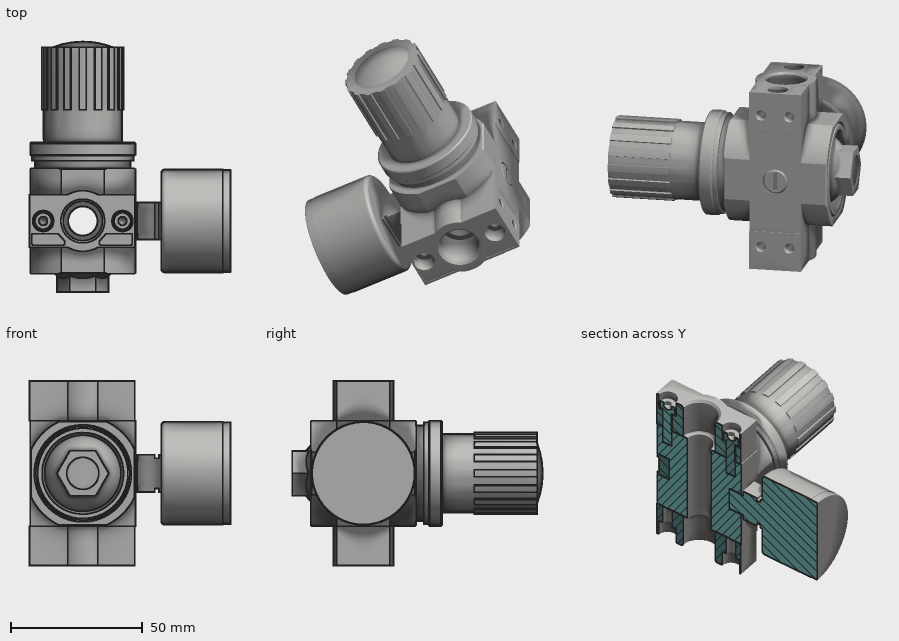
import cadquery as cq
import math


HOUSING_WIDTH = 40.0
HALF_WIDTH = HOUSING_WIDTH / 2
HOUSING_CORNER_RADIUS = 21.6
FLAT_END_CHAMFER = 0.5
BAND_HEIGHT = 20.0
PORT_DIAMETER = 11.0

PLATE_THICKNESS = 15.0
PLATE_OFFSET_X = -0.3
PLATE_BOSS_RADIUS = 11.5
PLATE_OUTER_Z = HALF_WIDTH + PLATE_THICKNESS
PLATE_BORE_DIAMETER = 14.9
PLATE_BORE_CHAMFER = 0.9
SIDE_HOLE_DIAMETER = 3.2
SIDE_HOLE_MOUTH_DIAMETER = 4.0
SIDE_HOLE_DEPTH = 4.75
SIDE_HOLE_SPACING = 11.0
SIDE_HOLE_Z = 26.0

LABEL_OUTER_X = 19.1
LABEL_INNER_X = 6.6
LABEL_TOP_Y = -4.75
LABEL_BOTTOM_Y = -9.1
LABEL_SLANT_WIDTH = 2.6
LABEL_SLANT_HEIGHT = 2.85
LABEL_CORNER_RADIUS = 0.7
LABEL_DEPTH = 0.3

SCREW_X = 15.0
SCREW_SHANK_DIAMETER = 4.0
SCREW_CLEARANCE_DIAMETER = 4.3
SCREW_HEAD_DIAMETER = 7.0
SCREW_HEAD_HEIGHT = 4.0
SCREW_HEAD_CHAMFER = 0.4
SCREW_HEAD_DEPTH = 2.8
SCREW_SOCKET_DIAMETER = 3.2
SCREW_SOCKET_DEPTH = 1.9
SCREW_ENGAGEMENT = 7.6
COUNTERBORE_DIAMETER = 8.0
COUNTERBORE_DEPTH = SCREW_HEAD_DEPTH + SCREW_HEAD_HEIGHT
DRILL_POINT_ANGLE = 118

SIDE_PORT_DIAMETER = 9.7
SIDE_PORT_DEPTH = 5.7
PLUG_CHAMFER = 0.7
PLUG_SLOT_WIDTH = 1.4
PLUG_SLOT_LENGTH = 7.0
PLUG_SLOT_DEPTH = 0.95

CAP_RADIUS = 17.8
CAP_BEVEL = 0.7
CAP_DEPTH = 7.6
CAP_RIM_INNER_RADIUS = 15.5
CAP_GROOVE_DEPTH = 4.3
CAP_DOME_RADIUS = 14.4
CAP_DOME_RISE = 6.65
CAP_DOME_TOP_RADIUS = 7.6
CAP_DOME_BULGE = 0.3
CAP_HEX_ACROSS_FLATS = 17.0
CAP_HEX_END_Y = -27.0
CAP_RECESS_DIAMETER = 12.2
CAP_RECESS_DEPTH = 0.6

NECK_RADIUS = 18.1
NECK_TOP_Y = 22.9
STEP_RADIUS = 19.4
STEP_TOP_Y = 24.7
COLLAR_RADIUS = HALF_WIDTH
COLLAR_TOP_Y = 29.8
COLLAR_CHAMFER = 0.5

KNOB_RADIUS = 14.9
RIB_RADIUS = 15.6
RIB_WIDTH = 2.8
RIB_COUNT = 16
RIB_START_Y = 42.1
KNOB_SHOULDER_Y = 65.8
KNOB_DOME_RADIUS = 11.4
KNOB_TOP_Y = 68.0

GAUGE_SQUARE = 14.2
GAUGE_SQUARE_START_X = 20.7
GAUGE_SLOT_START_X = 27.3
GAUGE_SLOT_WIDTH = 1.5
GAUGE_SLOT_DEPTH = 1.3
GAUGE_CASE_START_X = 29.6
GAUGE_CASE_RADIUS = 19.6
GAUGE_CASE_FILLET = 1.6
GAUGE_BEZEL_START_X = 53.0
GAUGE_BEZEL_RADIUS = 19.4
GAUGE_END_X = 56.05
GAUGE_BEZEL_FILLET = 0.3


def cylinder_x(radius, start, end):
    """Cylinder on the X axis."""
    return cq.Workplane("YZ").workplane(offset=start).circle(radius).extrude(end - start)


def cylinder_y(radius, start, end):
    """Cylinder on the Y axis."""
    return cq.Workplane("XZ").workplane(offset=-start).circle(radius).extrude(start - end)


def cone(start_radius, end_radius, height, position, direction):
    """Truncated cone growing from a position along a direction."""
    return cq.Workplane(obj=cq.Solid.makeCone(
        start_radius, end_radius, height, cq.Vector(position), cq.Vector(direction)
    ))


def drilled_hole(diameter, depth, position, direction):
    """Blind hole with a conical drill point, as a cutting tool."""
    radius = diameter / 2
    start = cq.Vector(position)
    axis = cq.Vector(direction)
    bore = cq.Workplane(obj=cq.Solid.makeCylinder(radius, depth, start, axis))
    tip_height = radius / math.tan(math.radians(DRILL_POINT_ANGLE / 2))
    return bore.union(cone(radius, 0, tip_height, start + axis * depth, axis))


def make_housing():
    barrel = cylinder_y(HOUSING_CORNER_RADIUS, -HALF_WIDTH, HALF_WIDTH)
    flats = cq.Workplane().box(HOUSING_WIDTH, HOUSING_WIDTH, HOUSING_WIDTH)
    flats = flats.faces("<Y or >Y").edges().chamfer(FLAT_END_CHAMFER)
    housing = barrel.intersect(flats).union(cq.Workplane().box(HOUSING_WIDTH, BAND_HEIGHT, HOUSING_WIDTH))

    housing = housing.cut(cq.Workplane().circle(PORT_DIAMETER / 2).extrude(HALF_WIDTH, both=True))

    for side in (-1, 1):
        housing = housing.cut(
            cylinder_x(SIDE_PORT_DIAMETER / 2, side * (HALF_WIDTH - SIDE_PORT_DEPTH), side * HALF_WIDTH)
        )

    bore_floor = CAP_DEPTH - HALF_WIDTH
    bore = [
        (0, bore_floor),
        (CAP_RADIUS, bore_floor),
        (CAP_RADIUS, CAP_BEVEL - HALF_WIDTH),
        (CAP_RADIUS + CAP_BEVEL, -HALF_WIDTH),
        (0, -HALF_WIDTH),
    ]
    housing = housing.cut(cq.Workplane("XY").polyline(bore).close().revolve(360, (0, 0), (0, 1)))

    screw_holes = (
        cq.Workplane("XY").workplane(offset=HALF_WIDTH - SCREW_ENGAGEMENT)
        .pushPoints([(-SCREW_X, 0), (SCREW_X, 0)])
        .circle(SCREW_SHANK_DIAMETER / 2)
        .extrude(SCREW_ENGAGEMENT)
    )
    return housing.cut(screw_holes)


def label_pocket():
    """Cutter for the label pocket on the +X half of a plate centred on X = 0."""
    outline = [
        (LABEL_OUTER_X, LABEL_BOTTOM_Y),
        (LABEL_OUTER_X, LABEL_TOP_Y),
        (LABEL_INNER_X + LABEL_SLANT_WIDTH, LABEL_TOP_Y),
        (LABEL_INNER_X, LABEL_TOP_Y - LABEL_SLANT_HEIGHT),
        (LABEL_INNER_X, LABEL_BOTTOM_Y),
    ]
    pocket = cq.Workplane("XY").workplane(offset=PLATE_OUTER_Z - LABEL_DEPTH)
    pocket = pocket.polyline(outline).close().extrude(LABEL_DEPTH)
    return pocket.edges("|Z").fillet(LABEL_CORNER_RADIUS)


def make_upper_plate():
    base = cq.Workplane("XY").workplane(offset=HALF_WIDTH)
    plate = base.center(PLATE_OFFSET_X, 0).rect(HOUSING_WIDTH, BAND_HEIGHT).extrude(PLATE_THICKNESS)
    plate = plate.union(base.circle(PLATE_BOSS_RADIUS).extrude(PLATE_THICKNESS))

    bore_radius = PLATE_BORE_DIAMETER / 2
    plate = plate.cut(base.circle(bore_radius).extrude(PLATE_THICKNESS))
    mouth_radius = bore_radius + PLATE_BORE_CHAMFER
    plate = plate.cut(cone(mouth_radius, bore_radius, PLATE_BORE_CHAMFER, (0, 0, PLATE_OUTER_Z), (0, 0, -1)))

    plate = (
        plate.faces(">Z").workplane(origin=(0, 0, PLATE_OUTER_Z))
        .pushPoints([(-SCREW_X, 0), (SCREW_X, 0)])
        .cboreHole(SCREW_CLEARANCE_DIAMETER, COUNTERBORE_DIAMETER, COUNTERBORE_DEPTH)
    )

    pocket = label_pocket()
    for label in (pocket, pocket.mirror("YZ")):
        plate = plate.cut(label.translate((PLATE_OFFSET_X, 0, 0)))

    side_hole_radius = SIDE_HOLE_DIAMETER / 2
    side_mouth_radius = SIDE_HOLE_MOUTH_DIAMETER / 2
    side_x = PLATE_OFFSET_X - HALF_WIDTH
    for y in (-SIDE_HOLE_SPACING / 2, SIDE_HOLE_SPACING / 2):
        position = (side_x, y, SIDE_HOLE_Z)
        plate = plate.cut(drilled_hole(SIDE_HOLE_DIAMETER, SIDE_HOLE_DEPTH, position, (1, 0, 0)))
        countersink_depth = side_mouth_radius - side_hole_radius
        plate = plate.cut(cone(side_mouth_radius, side_hole_radius, countersink_depth, position, (1, 0, 0)))
    return plate


def make_screw(x):
    head_top = PLATE_OUTER_Z - SCREW_HEAD_DEPTH
    head_bottom = PLATE_OUTER_Z - COUNTERBORE_DEPTH
    shank_end = HALF_WIDTH - SCREW_ENGAGEMENT
    head = cq.Workplane("XY").workplane(offset=head_bottom).center(x, 0)
    head = head.circle(SCREW_HEAD_DIAMETER / 2).extrude(SCREW_HEAD_HEIGHT)
    head = head.faces(">Z").edges().chamfer(SCREW_HEAD_CHAMFER)
    shank = cq.Workplane("XY").workplane(offset=shank_end).center(x, 0)
    shank = shank.circle(SCREW_SHANK_DIAMETER / 2).extrude(head_bottom - shank_end)
    socket = drilled_hole(SCREW_SOCKET_DIAMETER, SCREW_SOCKET_DEPTH, (x, 0, head_top), (0, 0, -1))
    return head.union(shank).cut(socket)


def make_plug():
    plug = cylinder_x(SIDE_PORT_DIAMETER / 2, -HALF_WIDTH, SIDE_PORT_DEPTH - HALF_WIDTH)
    plug = plug.faces("<X").edges().chamfer(PLUG_CHAMFER)
    slot = cq.Workplane("YZ").workplane(offset=-HALF_WIDTH)
    return plug.cut(slot.rect(PLUG_SLOT_WIDTH, PLUG_SLOT_LENGTH).extrude(PLUG_SLOT_DEPTH))


def make_cap():
    floor_y = CAP_DEPTH - HALF_WIDTH
    groove_y = CAP_GROOVE_DEPTH - HALF_WIDTH
    groove_radius = CAP_RIM_INNER_RADIUS - CAP_DOME_RADIUS
    dome_top_y = groove_y - CAP_DOME_RISE
    dome_mid_radius = (CAP_DOME_RADIUS + CAP_DOME_TOP_RADIUS) / 2 + CAP_DOME_BULGE
    dome_mid_y = (groove_y + dome_top_y) / 2 - CAP_DOME_BULGE
    body = (
        cq.Workplane("XY")
        .moveTo(0, floor_y)
        .lineTo(CAP_RADIUS, floor_y)
        .lineTo(CAP_RADIUS, CAP_BEVEL - HALF_WIDTH)
        .lineTo(CAP_RADIUS - CAP_BEVEL, -HALF_WIDTH)
        .lineTo(CAP_RIM_INNER_RADIUS, -HALF_WIDTH)
        .lineTo(CAP_RIM_INNER_RADIUS, groove_y - groove_radius)
        .radiusArc((CAP_DOME_RADIUS, groove_y), -groove_radius)
        .threePointArc((dome_mid_radius, dome_mid_y), (CAP_DOME_TOP_RADIUS, dome_top_y))
        .lineTo(0, dome_top_y)
        .close()
        .revolve(360, (0, 0), (0, 1))
    )
    hexagon = cq.Workplane("XZ").workplane(offset=-groove_y)
    corner_diameter = CAP_HEX_ACROSS_FLATS / math.cos(math.pi / 6)
    hexagon = hexagon.polygon(6, corner_diameter).extrude(groove_y - CAP_HEX_END_Y)
    recess = cylinder_y(CAP_RECESS_DIAMETER / 2, CAP_HEX_END_Y + CAP_RECESS_DEPTH, CAP_HEX_END_Y)
    return body.union(hexagon).cut(recess)


def make_collar():
    neck = cylinder_y(NECK_RADIUS, NECK_TOP_Y, HALF_WIDTH)
    step = cylinder_y(STEP_RADIUS, STEP_TOP_Y, NECK_TOP_Y)
    ring = cylinder_y(COLLAR_RADIUS, COLLAR_TOP_Y, STEP_TOP_Y)
    ring = ring.faces("<Y or >Y").edges().chamfer(COLLAR_CHAMFER)
    return neck.union(step).union(ring)


def make_knob():
    profile = (
        cq.Workplane("XY")
        .moveTo(0, COLLAR_TOP_Y)
        .lineTo(KNOB_RADIUS, COLLAR_TOP_Y)
        .lineTo(KNOB_RADIUS, KNOB_SHOULDER_Y)
        .lineTo(KNOB_DOME_RADIUS, KNOB_SHOULDER_Y)
    )
    dome_rise = KNOB_TOP_Y - KNOB_SHOULDER_Y
    sphere_radius = (KNOB_DOME_RADIUS**2 + dome_rise**2) / (2 * dome_rise)
    knob = profile.radiusArc((0, KNOB_TOP_Y), -sphere_radius).close().revolve(360, (0, 0), (0, 1))

    rib_length = KNOB_SHOULDER_Y - RIB_START_Y
    bar = cq.Workplane().box(2 * RIB_RADIUS, rib_length, RIB_WIDTH)
    bar = bar.translate((0, RIB_START_Y + rib_length / 2, 0))
    envelope = cylinder_y(RIB_RADIUS, KNOB_SHOULDER_Y, RIB_START_Y)
    for i in range(RIB_COUNT // 2):
        rib_pair = bar.rotate((0, 0, 0), (0, 1, 0), i * 360 / RIB_COUNT).intersect(envelope)
        knob = knob.union(rib_pair)
    return knob


def make_gauge():
    stub = cylinder_x(SIDE_PORT_DIAMETER / 2, HALF_WIDTH - SIDE_PORT_DEPTH, GAUGE_SQUARE_START_X)
    square = cq.Workplane("YZ").workplane(offset=GAUGE_SQUARE_START_X).rect(GAUGE_SQUARE, GAUGE_SQUARE)
    square = square.extrude(GAUGE_CASE_START_X - GAUGE_SQUARE_START_X)
    for side in (-1, 1):
        slot = cq.Workplane().box(GAUGE_SLOT_WIDTH, GAUGE_SQUARE, 2 * GAUGE_SLOT_DEPTH)
        slot_x = GAUGE_SLOT_START_X + GAUGE_SLOT_WIDTH / 2
        square = square.cut(slot.translate((slot_x, 0, side * GAUGE_SQUARE / 2)))
    case = cylinder_x(GAUGE_CASE_RADIUS, GAUGE_CASE_START_X, GAUGE_BEZEL_START_X)
    case = case.faces("<X").edges().fillet(GAUGE_CASE_FILLET)
    bezel = cylinder_x(GAUGE_BEZEL_RADIUS, GAUGE_BEZEL_START_X, GAUGE_END_X)
    bezel = bezel.faces(">X").edges().fillet(GAUGE_BEZEL_FILLET)
    return stub.union(square).union(case).union(bezel)


housing = make_housing()
upper_plate = make_upper_plate()
lower_plate = upper_plate.mirror("XY")
screws = [make_screw(x) for x in (-SCREW_X, SCREW_X)]
plug = make_plug()
cap = make_cap()
collar = make_collar()
knob = make_knob()
gauge = make_gauge()

result = cq.Compound.makeCompound([
    housing.val(),
    upper_plate.val(),
    lower_plate.val(),
    *[screw.val() for screw in screws],
    plug.val(),
    cap.val(),
    collar.val(),
    knob.val(),
    gauge.val(),
])